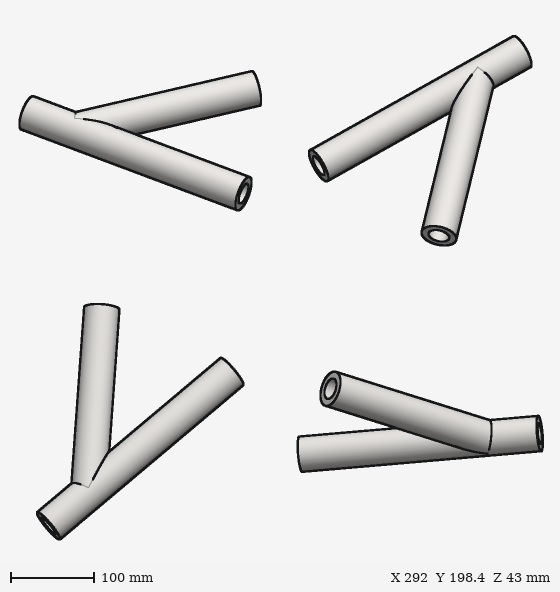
import cadquery as cq
import math

outer_diameter = 43.0
bore_diameter = 25.5

main_length = 292.0
branch_length = 228.7
branch_angle = 45.0
junction_x = 63.7

main_start = cq.Vector(0, 0, 0)
main_direction = cq.Vector(1, 0, 0)
junction = cq.Vector(junction_x, 0, 0)
branch_direction = cq.Vector(
    math.cos(math.radians(branch_angle)),
    math.sin(math.radians(branch_angle)),
    0,
)


def pipe_cylinders(diameter):
    """Join the main and branch cylinders of one diameter."""
    radius = diameter / 2
    main = cq.Solid.makeCylinder(radius, main_length, main_start, main_direction)
    branch = cq.Solid.makeCylinder(radius, branch_length, junction, branch_direction)
    return cq.Workplane(obj=main).union(cq.Workplane(obj=branch))


result = pipe_cylinders(outer_diameter).cut(pipe_cylinders(bore_diameter))